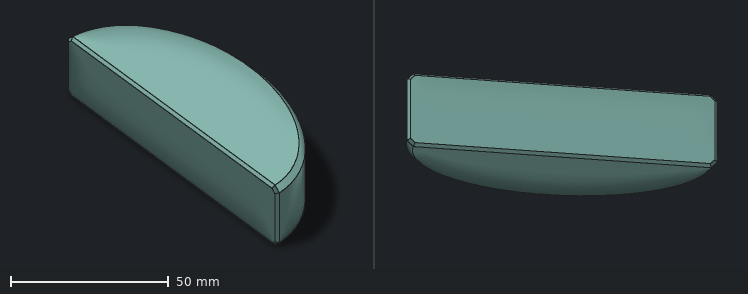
import cadquery as cq

length = 100.0
depth = 35.0
height = 25.0

curved_chamfer = 2.0
flat_chamfer = 1.0


def half_ellipse_block():
    """Half-elliptical block standing on Z = 0 with its flat face on Y = 0."""
    return (
        cq.Workplane("XY")
        .moveTo(length / 2, 0)
        .ellipseArc(length / 2, depth, 0, 180, startAtCurrent=True)
        .close()
        .extrude(height)
    )


body = half_ellipse_block()
body = body.faces("|Z").edges("not(<Y)").chamfer(curved_chamfer)
result = body.faces("<Y").edges().chamfer(flat_chamfer)